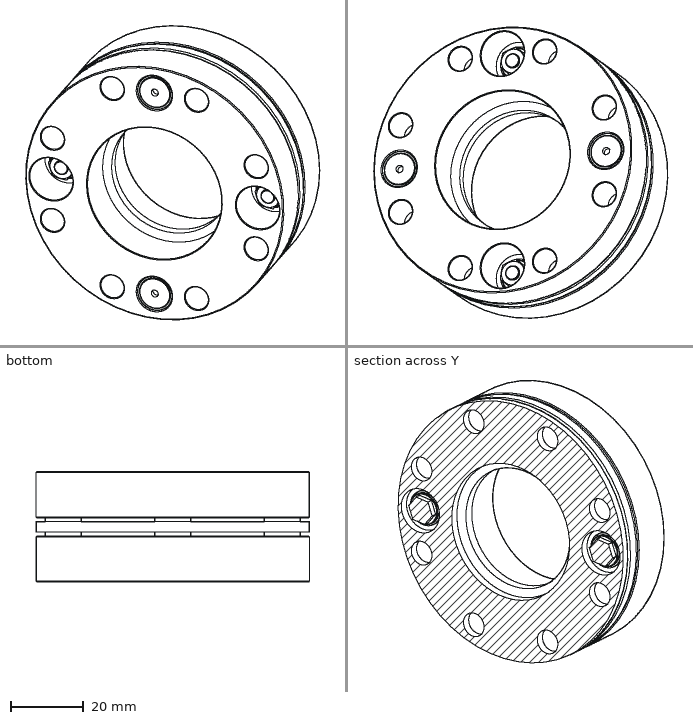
import cadquery as cq
import math

outer_dia = 75.0
total_width = 30.3
disc_dia = 74.9
disc_width = 2.85
gap_width = 1.05
hub_width = (total_width - disc_width) / 2 - gap_width
edge_chamfer = 0.3

disc_bore_dia = 34.5
hub_bore_dia = 39.0

mount_hole_dia = 6.7
mount_circle_radius = 32.0
mount_hole_count = 8
mount_step = 360 / mount_hole_count

pin_circle_radius = 30.0
pin_dia = 10.0
pin_end_dia = 9.0
pin_end_length = 0.2
pin_end_chamfer = 0.19
pin_recess = 0.3
clearance_dia = 12.5
hole_chamfer = 0.2
pin_seat_chamfer = 0.3
center_drill_dia = 2.0
center_drill_depth = 1.5
drill_tip_angle = 118

washer_dia = 9.0
washer_height = 0.8
washer_chamfer = 0.19
nut_sides = 6
nut_across_flats = 7.0
nut_turn = -20.0
nut_across_corners = nut_across_flats / math.cos(math.pi / nut_sides)
nut_top_dia = 6.7
nut_height = 3.2
nut_bevel_angle = 30
nut_bevel_height = (nut_across_corners - nut_top_dia) / 2 * math.tan(math.radians(nut_bevel_angle))
stud_dia = 4.0
stud_protrusion = 0.6
stud_chamfer = 0.19

front_face = -total_width / 2
hub_inner_face = front_face + hub_width
disc_face = -disc_width / 2


def cylinder(diameter, start, end, x=0.0, z=0.0):
    """Cylinder along Y from start to end."""
    return cq.Workplane(cq.Solid.makeCylinder(
        diameter / 2, end - start, cq.Vector(x, start, z), cq.Vector(0, 1, 0)))


def cone(start_dia, end_dia, start, end, x=0.0, z=0.0):
    """Truncated cone along Y from start to end."""
    return cq.Workplane(cq.Solid.makeCone(
        start_dia / 2, end_dia / 2, end - start, cq.Vector(x, start, z), cq.Vector(0, 1, 0)))


def front_hole(diameter, depth, chamfer, x=0.0, z=0.0):
    """Cutter for a hole sunk from the front face, with a chamfered mouth."""
    mouth = cone(diameter + 2 * chamfer, diameter, front_face, front_face + chamfer, x, z)
    return cylinder(diameter, front_face, front_face + depth, x, z).union(mouth)


def make_hub():
    hub = cylinder(outer_dia, front_face, hub_inner_face).faces("|Y").chamfer(edge_chamfer)
    hub = hub.cut(front_hole(hub_bore_dia, hub_width, hole_chamfer))
    for index in range(mount_hole_count):
        angle = math.radians((index + 0.5) * mount_step)
        x = mount_circle_radius * math.cos(angle)
        z = mount_circle_radius * math.sin(angle)
        hub = hub.cut(front_hole(mount_hole_dia, hub_width, hole_chamfer, x, z))
    for side in (-1, 1):
        pin_place = side * pin_circle_radius
        hub = hub.cut(front_hole(clearance_dia, hub_width, hole_chamfer, x=pin_place))
        hub = hub.cut(front_hole(pin_dia, hub_width, pin_seat_chamfer, z=pin_place))
    return hub


def make_nut(start, z):
    """Hex nut with its corners bevelled at the free end."""
    end = start + nut_height
    bevel_start = end - nut_bevel_height
    hexagon = (cq.Workplane("XZ", origin=(0, start, z))
               .transformed(rotate=(0, 0, nut_turn))
               .polygon(nut_sides, nut_across_corners)
               .extrude(-nut_height))
    envelope = cylinder(nut_across_corners, start, bevel_start, z=z)
    envelope = envelope.union(cone(nut_across_corners, nut_top_dia, bevel_start, end, z=z))
    return hexagon.intersect(envelope)


def make_pin(z):
    """Pin fixed in the front hub, passing the disc and ending with a nut in the back hub."""
    pin_end = -hub_inner_face
    washer_end = pin_end + washer_height
    stud_end = washer_end + nut_height + stud_protrusion
    pin_start = front_face + pin_recess
    drill_end = pin_start + center_drill_depth
    drill_tip_length = center_drill_dia / 2 / math.tan(math.radians(drill_tip_angle / 2))

    shoulder = pin_start + pin_end_length
    pin = cylinder(pin_dia, shoulder, pin_end, z=z)
    pin = pin.union(cylinder(pin_end_dia, pin_start, pin_end, z=z).faces("<Y").chamfer(pin_end_chamfer))
    pin = pin.cut(cylinder(center_drill_dia, pin_start, drill_end, z=z))
    pin = pin.cut(cone(center_drill_dia, 0, drill_end, drill_end + drill_tip_length, z=z))
    washer = cylinder(washer_dia, pin_end, washer_end, z=z).faces(">Y").chamfer(washer_chamfer)
    stud = cylinder(stud_dia, washer_end, stud_end, z=z).faces(">Y").chamfer(stud_chamfer)
    return pin.union(washer).union(make_nut(washer_end, z)).union(stud)


def make_half():
    half = make_hub()
    for side in (-1, 1):
        half = half.union(make_pin(side * pin_circle_radius))
    return half


front_half = make_half()
back_half = front_half.rotate((0, 0, 0), (0, 0, 1), 180).rotate((0, 0, 0), (0, 1, 0), 90)
disc = cylinder(disc_dia, disc_face, -disc_face).cut(cylinder(disc_bore_dia, disc_face, -disc_face))
result = disc.union(front_half).union(back_half)